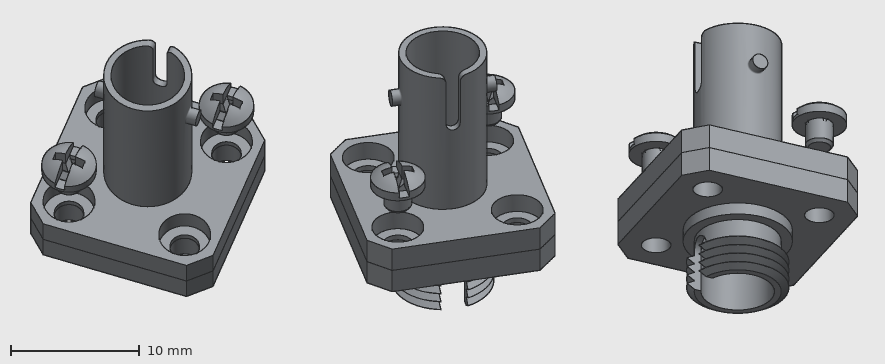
import cadquery as cq
import math

FLANGE_SIDE = 15.05
FLANGE_CHAMFER = 1.61
UPPER_FLANGE_THICKNESS = 2.03
LOWER_FLANGE_THICKNESS = 2.03

CENTRE_HOLE_RADIUS = 1.25
SCREW_OFFSET = 4.77
SCREW_HOLE_RADIUS = 1.15
COUNTERBORE_RADIUS = 2.01
COUNTERBORE_DEPTH = 1.6
BORE_RADIUS = 2.85

TUBE_RADIUS = 3.43
TUBE_LENGTH = 12.53
TUBE_SLOT_WIDTH = 1.13
TUBE_SLOT_DEPTH = 5.02
TUBE_SLOT_ROUNDING = 0.53
PIN_RADIUS = 0.65
PIN_REACH = 4.18
PIN_HEIGHT = 8.88
PIN_FILLET = 0.1

COLLAR_RADIUS = 4.25
COLLAR_LENGTH = 1.0
NECK_RADIUS = 3.38
NECK_LENGTH = 1.45
THREAD_RADIUS = 3.98
THREAD_LENGTH = 3.05
THREAD_RIDGES = 4
THREAD_PITCH = THREAD_LENGTH / THREAD_RIDGES
KEYWAY_WIDTH = 2.17
KEYWAY_LENGTH = 4.09

SCREW_CLEARANCE = 2.0
SHANK_RADIUS = 1.08
SHANK_LENGTH = 2.03
SHANK_CHAMFER_HEIGHT = 0.27
SHANK_CHAMFER_INSET = 0.2
HEAD_RADIUS = 2.12
HEAD_RIM_HEIGHT = 0.75
HEAD_DOME_HEIGHT = 0.82
DRIVER_SLOT_WIDTH = 0.8
DRIVER_SLOT_FLOOR = 0.27
CROSS_LENGTH = 2.43
CROSS_ARM_WIDTH = 0.66
CROSS_DRAFT = 30

TUBE_TOP = UPPER_FLANGE_THICKNESS + TUBE_LENGTH
NECK_TOP = -LOWER_FLANGE_THICKNESS - COLLAR_LENGTH
THREAD_TOP = NECK_TOP - NECK_LENGTH
SOCKET_BOTTOM = THREAD_TOP - THREAD_LENGTH

HEAD_UNDERSIDE = UPPER_FLANGE_THICKNESS + SCREW_CLEARANCE + SHANK_LENGTH

SCREW_CENTRES = [(-SCREW_OFFSET, -SCREW_OFFSET), (SCREW_OFFSET, SCREW_OFFSET)]
FREE_HOLE_CENTRES = [(-SCREW_OFFSET, SCREW_OFFSET), (SCREW_OFFSET, -SCREW_OFFSET)]
SCREW_HOLE_CENTRES = SCREW_CENTRES + FREE_HOLE_CENTRES


def cylinder(radius, bottom, top):
    return cq.Workplane("XY").workplane(offset=bottom).circle(radius).extrude(top - bottom)


def flange(bottom, thickness):
    """Square plate with its four upright corners cut off."""
    plate = cq.Workplane("XY").box(FLANGE_SIDE, FLANGE_SIDE, thickness, centered=(True, True, False))
    return plate.edges("|Z").chamfer(FLANGE_CHAMFER).translate((0, 0, bottom))


def wall_slot(width, rounded_end, open_end):
    """Cutter for a slot in the +Y wall, from its semicircular end to its open end."""
    radius = width / 2
    direction = math.copysign(1, open_end - rounded_end)
    arc_ends = rounded_end + direction * radius
    return (
        cq.Workplane("XZ")
        .moveTo(-radius, open_end)
        .lineTo(-radius, arc_ends)
        .threePointArc((0, rounded_end), (radius, arc_ends))
        .lineTo(radius, open_end)
        .close()
        .extrude(-2 * TUBE_RADIUS)
    )


def tube_slot_mouth():
    """Cutter that flares the tube slot's mouth with a convex rounding on each side."""
    half_width = TUBE_SLOT_WIDTH / 2
    mouth = half_width + TUBE_SLOT_ROUNDING
    arc_bottom = TUBE_TOP - TUBE_SLOT_ROUNDING
    arc_inset = TUBE_SLOT_ROUNDING * math.sqrt(0.5)
    return (
        cq.Workplane("XZ")
        .moveTo(-mouth, TUBE_TOP)
        .threePointArc((-mouth + arc_inset, arc_bottom + arc_inset), (-half_width, arc_bottom))
        .lineTo(half_width, arc_bottom)
        .threePointArc((mouth - arc_inset, arc_bottom + arc_inset), (mouth, TUBE_TOP))
        .close()
        .extrude(-2 * TUBE_RADIUS)
    )


def bayonet_tube():
    """Solid tube with a filleted pin on the -X and +X sides."""
    tube = cylinder(TUBE_RADIUS, UPPER_FLANGE_THICKNESS, TUBE_TOP)
    pin_axis = UPPER_FLANGE_THICKNESS + PIN_HEIGHT
    pin_pair = cq.Workplane("YZ").center(0, pin_axis).circle(PIN_RADIUS).extrude(PIN_REACH, both=True)
    root_limit = TUBE_RADIUS + PIN_FILLET
    pin_roots = cq.selectors.BoxSelector(
        (-root_limit, -PIN_RADIUS, pin_axis - PIN_RADIUS),
        (root_limit, PIN_RADIUS, pin_axis + PIN_RADIUS),
    )
    return tube.union(pin_pair).edges(pin_roots).edges("not |X").edges("not |Z").fillet(PIN_FILLET)


def make_upper_housing():
    housing = flange(0, UPPER_FLANGE_THICKNESS).union(bayonet_tube())
    housing = housing.cut(cylinder(BORE_RADIUS, UPPER_FLANGE_THICKNESS, TUBE_TOP))
    housing = housing.cut(wall_slot(TUBE_SLOT_WIDTH, TUBE_TOP - TUBE_SLOT_DEPTH, TUBE_TOP))
    housing = housing.cut(tube_slot_mouth())
    housing = housing.cut(cylinder(CENTRE_HOLE_RADIUS, 0, UPPER_FLANGE_THICKNESS))
    counterbore_floor = UPPER_FLANGE_THICKNESS - COUNTERBORE_DEPTH
    for x, y in SCREW_HOLE_CENTRES:
        hole = cylinder(SCREW_HOLE_RADIUS, 0, UPPER_FLANGE_THICKNESS)
        counterbore = cylinder(COUNTERBORE_RADIUS, counterbore_floor, UPPER_FLANGE_THICKNESS)
        housing = housing.cut(hole.union(counterbore).translate((x, y, 0)))
    return housing


def threaded_socket():
    """Collar, neck and pointed thread ridges turned about Z."""
    profile = (
        cq.Workplane("XZ")
        .moveTo(0, -LOWER_FLANGE_THICKNESS)
        .lineTo(COLLAR_RADIUS, -LOWER_FLANGE_THICKNESS)
        .lineTo(COLLAR_RADIUS, NECK_TOP)
        .lineTo(NECK_RADIUS, NECK_TOP)
        .lineTo(NECK_RADIUS, THREAD_TOP)
    )
    for ridge in range(THREAD_RIDGES):
        ridge_top = THREAD_TOP - ridge * THREAD_PITCH
        profile = profile.lineTo(THREAD_RADIUS, ridge_top - THREAD_PITCH / 2)
        profile = profile.lineTo(NECK_RADIUS, ridge_top - THREAD_PITCH)
    return profile.lineTo(0, SOCKET_BOTTOM).close().revolve(360, (0, 0), (0, 1))


def make_lower_housing():
    housing = flange(-LOWER_FLANGE_THICKNESS, LOWER_FLANGE_THICKNESS).union(threaded_socket())
    housing = housing.cut(cylinder(BORE_RADIUS, SOCKET_BOTTOM, -LOWER_FLANGE_THICKNESS))
    housing = housing.cut(wall_slot(KEYWAY_WIDTH, SOCKET_BOTTOM + KEYWAY_LENGTH, SOCKET_BOTTOM))
    housing = housing.cut(cylinder(CENTRE_HOLE_RADIUS, -LOWER_FLANGE_THICKNESS, 0))
    for x, y in SCREW_HOLE_CENTRES:
        housing = housing.cut(cylinder(SCREW_HOLE_RADIUS, -LOWER_FLANGE_THICKNESS, 0).translate((x, y, 0)))
    return housing


def screw_blank():
    """Domed head and chamfered shank turned about Z, with the underside of the head at Z = 0."""
    dome_top = HEAD_RIM_HEIGHT + HEAD_DOME_HEIGHT
    dome_sphere = (HEAD_RADIUS**2 + HEAD_DOME_HEIGHT**2) / (2 * HEAD_DOME_HEIGHT)
    half_angle = math.asin(HEAD_RADIUS / dome_sphere) / 2
    arc_middle = (
        dome_sphere * math.sin(half_angle),
        dome_top - dome_sphere * (1 - math.cos(half_angle)),
    )
    return (
        cq.Workplane("XZ")
        .moveTo(0, -SHANK_LENGTH)
        .lineTo(SHANK_RADIUS - SHANK_CHAMFER_INSET, -SHANK_LENGTH)
        .lineTo(SHANK_RADIUS, -SHANK_LENGTH + SHANK_CHAMFER_HEIGHT)
        .lineTo(SHANK_RADIUS, 0)
        .lineTo(HEAD_RADIUS, 0)
        .lineTo(HEAD_RADIUS, HEAD_RIM_HEIGHT)
        .threePointArc(arc_middle, (0, dome_top))
        .close()
        .revolve(360, (0, 0), (0, 1))
    )


def cross_arm(width):
    """Cutter for one recess arm along X: upright walls to the slot floor, a hipped V groove below."""
    half_width = width / 2
    half_length = CROSS_LENGTH / 2
    groove_depth = half_width / math.tan(math.radians(CROSS_DRAFT))
    valley_end = half_length - half_width
    upright = (
        cq.Workplane("XY")
        .workplane(offset=DRIVER_SLOT_FLOOR)
        .rect(CROSS_LENGTH, width)
        .extrude(HEAD_RIM_HEIGHT + HEAD_DOME_HEIGHT)
    )
    flank_section = [(-half_width, 0), (half_width, 0), (0, -groove_depth)]
    end_section = [
        (-half_length, 0),
        (half_length, 0),
        (valley_end, -groove_depth),
        (-valley_end, -groove_depth),
    ]
    flanks = cq.Workplane("YZ").polyline(flank_section).close().extrude(half_length, both=True)
    ends = cq.Workplane("XZ").polyline(end_section).close().extrude(width, both=True)
    groove = flanks.intersect(ends).translate((0, 0, DRIVER_SLOT_FLOOR))
    return upright.union(groove)


def make_screw():
    """Screw with a driver slot along Y and a cross recess, the underside of its head at Z = 0."""
    slot = (
        cq.Workplane("XY")
        .workplane(offset=DRIVER_SLOT_FLOOR)
        .rect(DRIVER_SLOT_WIDTH, 2 * HEAD_RADIUS)
        .extrude(HEAD_RIM_HEIGHT + HEAD_DOME_HEIGHT)
    )
    narrow_arm = cross_arm(CROSS_ARM_WIDTH)
    wide_arm = cross_arm(DRIVER_SLOT_WIDTH).rotate((0, 0, 0), (0, 0, 1), 90)
    return screw_blank().cut(slot).cut(narrow_arm).cut(wide_arm)


upper_housing = make_upper_housing()
lower_housing = make_lower_housing()
screws = []
for x, y in SCREW_CENTRES:
    screws.append(make_screw().translate((x, y, HEAD_UNDERSIDE)).val())

result = cq.Compound.makeCompound([upper_housing.val(), lower_housing.val(), *screws])